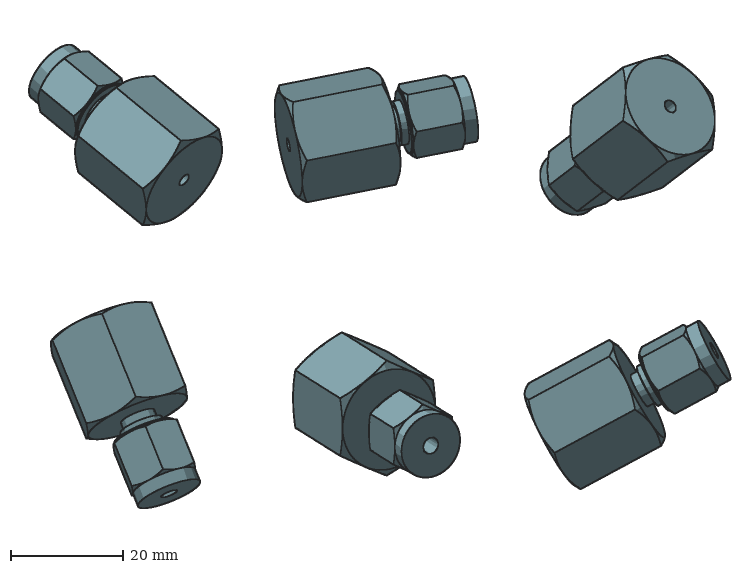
import cadquery as cq
import math

collar_end = 2.4
nut_end = 11.95
washer_end = 12.25
flange_end = 13.6
neck_end = 15.3
total_length = 33.5

nut_flats = 12.0
body_flats = 19.0
body_face_diameter = 18.93
washer_diameter = 11.45
flange_diameter = 8.05
neck_diameter = 6.43

socket_diameter = 3.05
socket_depth = nut_end
bore_diameter = 2.38

hexagon_half_angle = 30.0
corner_chamfer_angle = 30.0
envelope_margin = 0.35


def cylinder(start, end, diameter):
    """Round section on the X axis."""
    return cq.Workplane("YZ", origin=(start, 0, 0)).circle(diameter / 2).extrude(end - start)


def chamfered_hexagon(start, end, flats, face_diameter):
    """Hexagon with corners up and down and conical chamfers at both ends."""
    corners = flats / math.cos(math.radians(hexagon_half_angle))
    prism = (
        cq.Workplane("YZ", origin=(start, 0, 0))
        .transformed(rotate=(0, 0, 90))
        .polygon(6, corners)
        .extrude(end - start)
    )
    face_radius = face_diameter / 2
    envelope_radius = corners / 2 + envelope_margin
    chamfer_length = (envelope_radius - face_radius) * math.tan(math.radians(corner_chamfer_angle))
    envelope = (
        cq.Workplane("XY")
        .moveTo(start, 0)
        .lineTo(start, face_radius)
        .lineTo(start + chamfer_length, envelope_radius)
        .lineTo(end - chamfer_length, envelope_radius)
        .lineTo(end, face_radius)
        .lineTo(end, 0)
        .close()
        .revolve(360, (0, 0, 0), (1, 0, 0))
    )
    return prism.intersect(envelope)


collar = cylinder(0, collar_end, nut_flats)
nut = chamfered_hexagon(collar_end, nut_end, nut_flats, nut_flats)

washer = cylinder(nut_end, washer_end, washer_diameter)
flange = cylinder(washer_end, flange_end, flange_diameter)
neck = cylinder(flange_end, neck_end, neck_diameter)

body = chamfered_hexagon(neck_end, total_length, body_flats, body_face_diameter)

socket = cylinder(0, socket_depth, socket_diameter)
bore = cylinder(0, total_length, bore_diameter)

result = collar.union(nut).union(washer).union(flange).union(neck).union(body)
result = result.cut(socket).cut(bore)